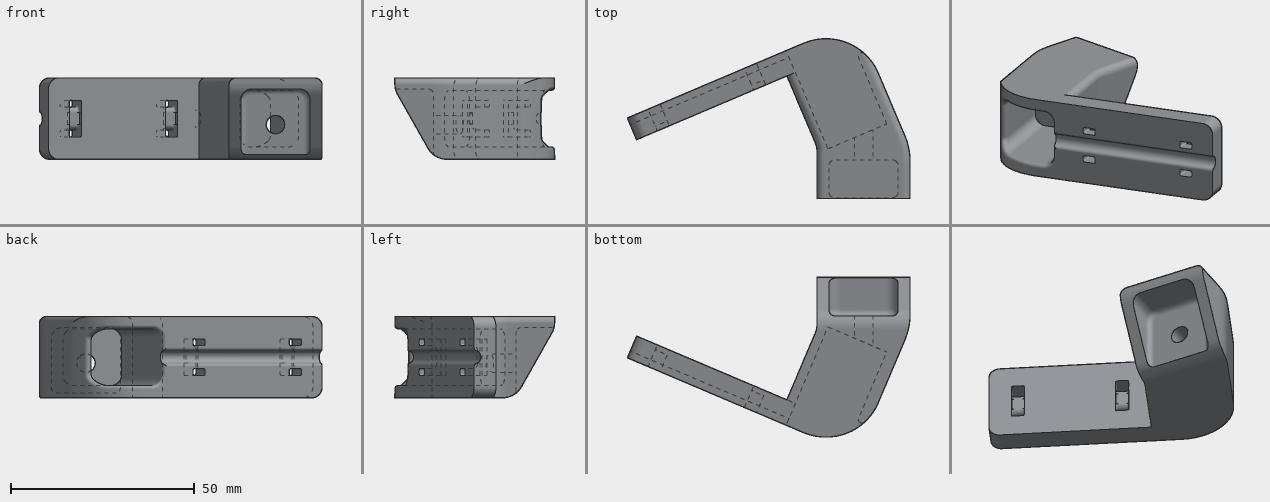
import cadquery as cq
import math

height = 22.2
bend_angle = 23.0

foot_width = 25.4
upper_leg_width = 23.3
inner_bend_y = 14.1
inner_bend_radius = 6.0
outer_bend_radius = 18.5
upper_leg_length = 20.95
top_edge_radius = 2.0
heel_radius = 15.6

lip_height = 3.15
undercut_angle = 29.5
undercut_radius = 6.0

arm_length = 44.5
arm_thickness = 6.5
arm_corner_radius = 3.0

recess_wall = 3.3
recess_top_wall = 3.0
recess_depth = 10.55
recess_corner_radius = 3.0
recess_floor_radius = 1.55
hole_diameter = 5.0
hole_z = 9.5
hole_length = 10.8

pocket_inner_wall = 2.55
pocket_outer_wall = 3.3
pocket_end_wall = 3.4
pocket_web = 3.0
pocket_corner_radius = 3.0
pocket_rim_radius = 1.0

groove_radius = 1.8
groove_depth = 2.0
groove_edge_radius = 0.85

slot_distances = (8.0, 36.5)
slot_width = 3.55
slot_height = 10.0
slot_corner_radius = 0.5
bridge_height = 6.25
bridge_recess = 1.5
bridge_edge_radius = 1.5

cos_bend = math.cos(math.radians(bend_angle))
sin_bend = math.sin(math.radians(bend_angle))
elbow_x = -upper_leg_length * sin_bend
elbow_y = inner_bend_y + upper_leg_length * cos_bend
mid_z = height / 2


def nearest(point):
    """Selector for the edge whose middle lies closest to a point."""
    return cq.selectors.NearestToPointSelector(point)


def arm_to_part(u, v):
    """Turn arm-frame coordinates (origin at the inner elbow) into part X, Y."""
    return elbow_x + u * cos_bend - v * sin_bend, elbow_y + u * sin_bend + v * cos_bend


def place_in_part(solid):
    """Move a solid modelled in the arm frame to its place on the part."""
    return solid.rotate((0, 0, 0), (0, 0, 1), bend_angle).translate((elbow_x, elbow_y, 0))


def arm_box(u_start, u_end, v_start, v_end, z_start, z_end):
    """Box given by its limits in the arm frame."""
    size = (u_end - u_start, v_end - v_start, z_end - z_start)
    return cq.Workplane("XY").box(*size, centered=False).translate((u_start, v_start, z_start))


def make_leg():
    corner_x, corner_y = arm_to_part(upper_leg_width, arm_thickness)
    outer_bend_y = corner_y - (foot_width - corner_x) * cos_bend / sin_bend
    leg = (
        cq.Workplane("XY")
        .moveTo(0, 0)
        .lineTo(foot_width, 0)
        .lineTo(foot_width, outer_bend_y)
        .lineTo(corner_x, corner_y)
        .lineTo(*arm_to_part(0, arm_thickness))
        .lineTo(0, inner_bend_y)
        .close()
        .extrude(height)
    )
    leg = leg.edges(nearest((0, inner_bend_y, mid_z))).fillet(inner_bend_radius)
    leg = leg.edges(nearest((foot_width, outer_bend_y, mid_z))).fillet(outer_bend_radius)
    leg = leg.edges(nearest((0, inner_bend_y / 4, height))).fillet(top_edge_radius)
    return leg.edges(nearest((foot_width, outer_bend_y / 4, height))).fillet(top_edge_radius)


def make_undercut_envelope():
    """Side profile of the whole part, swept across its width."""
    reach = 154.1
    undercut_y = (height - lip_height) * math.tan(math.radians(undercut_angle))
    envelope = (
        cq.Workplane("YZ")
        .polyline([(0, height), (0, height - lip_height), (undercut_y, 0), (reach, 0), (reach, height)])
        .close()
        .extrude(reach, both=True)
    )
    lip_edge = nearest((0, 0, height - lip_height))
    heel_edge = nearest((0, undercut_y, 0))
    return envelope.edges(lip_edge).fillet(undercut_radius).edges(heel_edge).fillet(undercut_radius)


def make_arm():
    arm = arm_box(-arm_length, upper_leg_width / 2, 0, arm_thickness, 0, height)
    return arm.edges("|Y and <X").fillet(arm_corner_radius)


def make_heel_waste():
    """Material outside the heel round."""
    u_centre = upper_leg_width - heel_radius
    v_centre = arm_thickness - heel_radius
    square = arm_box(u_centre, upper_leg_width + 0.8, v_centre, arm_thickness + 0.8, 0, height)
    return square.cut(cq.Workplane("XY").center(u_centre, v_centre).circle(heel_radius).extrude(height))


def make_recess():
    width = foot_width - 2 * recess_wall
    top = height - recess_top_wall
    recess = cq.Workplane("XY").box(width, recess_depth, 2 * top).translate(
        (foot_width / 2, recess_depth / 2, 0)
    )
    recess = recess.edges("|Y and >Z").fillet(recess_corner_radius)
    return recess.faces(">Y").edges("not <Z").fillet(recess_floor_radius)


def make_pocket():
    u_start = pocket_inner_wall
    u_end = upper_leg_width - pocket_outer_wall
    lowest_y = recess_depth + pocket_web
    v_floor = (lowest_y - elbow_y - u_start * sin_bend) / cos_bend
    pocket = arm_box(u_start, u_end, v_floor, 2 * arm_thickness, pocket_end_wall, height - pocket_end_wall)
    return pocket.edges("|Y").fillet(pocket_corner_radius)


def make_groove():
    """Round-bottomed groove whose edges flow tangentially into the arm's back face."""
    centre_depth = groove_depth - groove_radius
    centres_apart = groove_radius + groove_edge_radius
    edge_offset = math.sqrt(centres_apart**2 - (groove_edge_radius - centre_depth) ** 2)
    tangent_share = groove_radius / centres_apart
    tangent_z = edge_offset * tangent_share
    tangent_depth = centre_depth + (groove_edge_radius - centre_depth) * tangent_share
    half_turn = math.atan2(edge_offset - tangent_z, groove_edge_radius - tangent_depth) / 2
    middle_z = edge_offset - groove_edge_radius * math.sin(half_turn)
    middle_depth = groove_edge_radius * (1 - math.cos(half_turn))
    profile = (
        cq.Workplane("YZ", origin=(-arm_length, arm_thickness, mid_z))
        .moveTo(0, -edge_offset)
        .threePointArc((-middle_depth, -middle_z), (-tangent_depth, -tangent_z))
        .threePointArc((-groove_depth, 0), (-tangent_depth, tangent_z))
        .threePointArc((-middle_depth, middle_z), (0, edge_offset))
        .close()
    )
    return profile.extrude(arm_length + pocket_inner_wall + pocket_corner_radius)


def make_tie_slot(distance):
    u_start = -distance - slot_width / 2
    u_end = u_start + slot_width
    bridge_half = bridge_height / 2
    flat_half = bridge_half - bridge_edge_radius
    bridge = arm_box(u_start, u_end, bridge_recess, arm_thickness, -bridge_half, bridge_half)
    bridge = bridge.edges("|X and <Y").fillet(bridge_edge_radius)

    passage = arm_box(u_start, u_end, 0, arm_thickness, flat_half, slot_height / 2).cut(bridge)
    passage = passage.edges("|Y and (not <Z)").fillet(slot_corner_radius)

    middle = arm_box(u_start, u_end, 0, bridge_recess, -flat_half, flat_half)
    slot = passage.union(middle).union(passage.mirror("XY"))
    return slot.translate((0, 0, mid_z))


body = make_leg().union(place_in_part(make_arm()))
body = body.cut(place_in_part(make_heel_waste()))
body = body.intersect(make_undercut_envelope())

body = body.cut(place_in_part(make_pocket()))
rim_x, rim_y = arm_to_part(pocket_inner_wall, arm_thickness)
body = body.edges(nearest((rim_x, rim_y, mid_z))).fillet(pocket_rim_radius)

body = body.cut(make_recess())
hole = (
    cq.Workplane("XZ", origin=(foot_width / 2, 0, hole_z))
    .circle(hole_diameter / 2)
    .extrude(-(recess_depth + hole_length))
)
body = body.cut(hole)

body = body.cut(place_in_part(make_groove()))
for slot_distance in slot_distances:
    body = body.cut(place_in_part(make_tie_slot(slot_distance)))

result = body